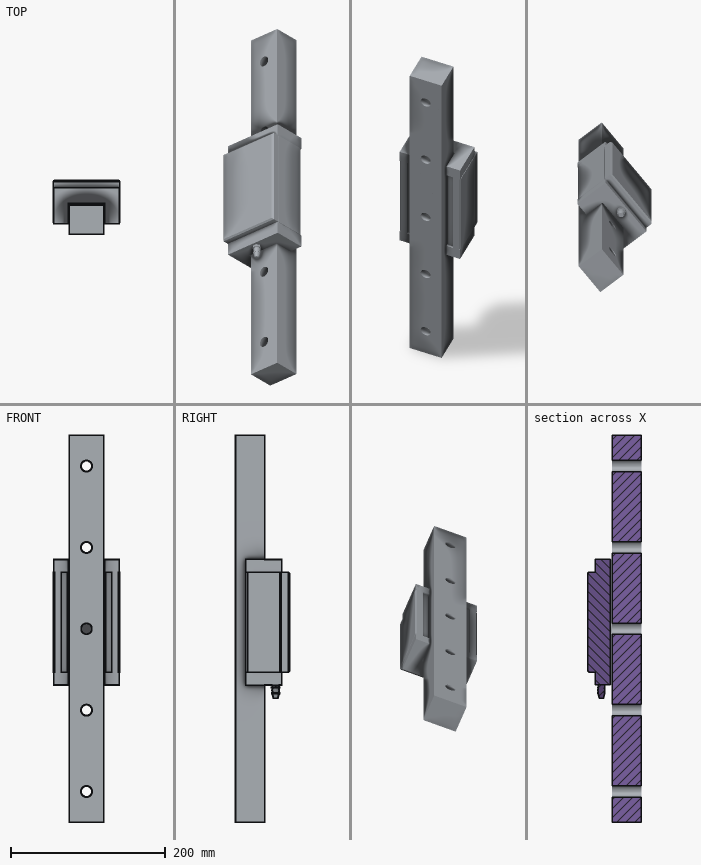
import cadquery as cq

rail_length = 500.0
rail_width = 45.0
rail_height = 38.0
hole_diameter = 14.0
hole_pitch = 105.0
hole_count = 5

block_width = 86.0
block_length = 129.5
carriage_bottom = 13.5
carriage_top = 70.0
carriage_centre_z = 8.5
top_chamfer = 2.0
cap_width = 85.0
cap_length = 16.5
cap_top = 60.0
carriage_length = block_length + 2 * cap_length
carriage_end_z = carriage_centre_z - carriage_length / 2

block_channel_width = 46.0
cap_channel_width = 47.0
channel_roof = 40.0

leg_chamfer = 2.25
recess_outer_x = 32.5
recess_depth = 2.5
mouth_chamfer = 2.0

groove_depth = 1.0
groove_width = 1.5
groove_bottom = 57.5

nipple_y = 52.0
nipple_hex_diameter = 10.5
nipple_hex_length = 3.0
nipple_flange_radius = 5.5
nipple_flange_length = 0.5
nipple_waist_radius = 4.0
nipple_bulge_radius = 4.75
nipple_bulge_length = 6.0
nipple_collar_radius = 5.0
nipple_collar_length = 1.5
nipple_tip_base_radius = 4.5
nipple_tip_end_radius = 3.0
nipple_tip_length = 6.0


def centred_bar(width, y_min, y_max, length, centre_z):
    """Rectangular bar along Z, symmetric about X = 0."""
    origin = (0, (y_min + y_max) / 2, centre_z)
    return cq.Workplane("XY", origin=origin).box(width, y_max - y_min, length)


def make_rail():
    body = centred_bar(rail_width, 0, rail_height, rail_length, 0)
    holes = (
        cq.Workplane("XZ")
        .rarray(5, hole_pitch, 1, hole_count)
        .circle(hole_diameter / 2)
        .extrude(-rail_height)
    )
    return body.cut(holes)


def make_half_block():
    """The +X half of the block, extruded from its cross-section."""
    side_x = block_width / 2
    groove_x = side_x - groove_depth
    groove_top = groove_bottom + groove_width
    wall_x = block_channel_width / 2
    recess_y = carriage_bottom + recess_depth
    outline = [
        (0, carriage_top),
        (side_x, carriage_top),
        (side_x, groove_top),
        (groove_x, groove_top),
        (groove_x, groove_bottom),
        (side_x, groove_bottom),
        (side_x, carriage_bottom + leg_chamfer),
        (side_x - leg_chamfer, carriage_bottom),
        (recess_outer_x, carriage_bottom),
        (recess_outer_x, recess_y),
        (wall_x + mouth_chamfer, recess_y),
        (wall_x, recess_y + mouth_chamfer),
        (wall_x, channel_roof),
        (0, channel_roof),
    ]
    start_z = carriage_centre_z - block_length / 2
    return cq.Workplane("XY", origin=(0, 0, start_z)).polyline(outline).close().extrude(block_length)


def make_block():
    half = make_half_block()
    block = half.union(half.mirror("YZ"))
    return block.faces(">Y").chamfer(top_chamfer)


def make_cap(side):
    """End cap above (side = 1) or below (side = -1) the block."""
    centre_z = carriage_centre_z + side * (block_length + cap_length) / 2
    cap = centred_bar(cap_width, carriage_bottom, cap_top, cap_length, centre_z)
    channel = centred_bar(cap_channel_width, 0, channel_roof, cap_length, centre_z)
    return cap.cut(channel)


def make_carriage():
    carriage = make_block()
    for side in (-1, 1):
        carriage = carriage.union(make_cap(side))
    return carriage


def make_nipple():
    base = cq.Workplane("XY", origin=(0, nipple_y, carriage_end_z))
    hexagon = base.polygon(6, nipple_hex_diameter).extrude(-nipple_hex_length)

    flange_start = -nipple_hex_length
    bulge_start = flange_start - nipple_flange_length
    collar_start = bulge_start - nipple_bulge_length
    tip_start = collar_start - nipple_collar_length
    tip_end = tip_start - nipple_tip_length
    turned = (
        cq.Workplane("XZ", origin=(0, nipple_y, carriage_end_z))
        .moveTo(0, flange_start)
        .lineTo(nipple_flange_radius, flange_start)
        .lineTo(nipple_flange_radius, bulge_start)
        .lineTo(nipple_waist_radius, bulge_start)
        .threePointArc(
            (nipple_bulge_radius, (bulge_start + collar_start) / 2),
            (nipple_waist_radius, collar_start),
        )
        .lineTo(nipple_collar_radius, collar_start)
        .lineTo(nipple_collar_radius, tip_start)
        .lineTo(nipple_tip_base_radius, tip_start)
        .lineTo(nipple_tip_end_radius, tip_end)
        .lineTo(0, tip_end)
        .close()
        .revolve(360, (0, 0, 0), (0, 1, 0))
    )
    return hexagon.union(turned)


rail = make_rail().solids()
carriage = make_carriage().solids()
nipple = make_nipple().solids()

result = cq.Compound.makeCompound([rail.val(), carriage.val(), nipple.val()])